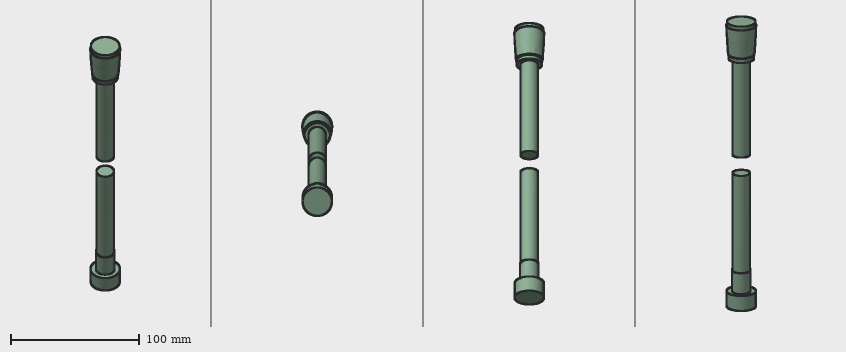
import cadquery as cq

TOTAL_HEIGHT = 237.5
HOSE_RADIUS = 13.8 / 2
UPPER_HOSE_END_Z = 126.4
LOWER_HOSE_END_Z = 111.2

TOP_BAND_RADIUS = 22.5 / 2
TOP_BAND_HEIGHT = 3.0
GRIP_TOP_RADIUS = 23.5 / 2
GRIP_MIDDLE_RADIUS = 22.5 / 2
GRIP_BOTTOM_RADIUS = 21.0 / 2
GRIP_HEIGHT = 24.5
COLLAR_RADIUS = 20.0 / 2
BEVEL_HEIGHT = 0.7
COLLAR_HEIGHT = 3.3

NUT_RADIUS = 23.0 / 2
NUT_HEIGHT = 12.5
SLEEVE_RADIUS = 14.7 / 2
SLEEVE_HEIGHT = 17.3


def cylinder(radius, bottom_z, top_z):
    """Solid cylinder on the Z axis between two heights."""
    return cq.Workplane("XY").workplane(offset=bottom_z).circle(radius).extrude(top_z - bottom_z)


def barrel_grip(bottom_z, top_z):
    """Grip with a gently bulged, narrowing side and a bevel down to the collar."""
    bevel_top_z = bottom_z + BEVEL_HEIGHT
    middle_z = (bevel_top_z + top_z) / 2
    return (
        cq.Workplane("XZ")
        .moveTo(0, bottom_z)
        .lineTo(COLLAR_RADIUS, bottom_z)
        .lineTo(GRIP_BOTTOM_RADIUS, bevel_top_z)
        .threePointArc((GRIP_MIDDLE_RADIUS, middle_z), (GRIP_TOP_RADIUS, top_z))
        .lineTo(0, top_z)
        .close()
        .revolve(360, (0, 0, 0), (0, 1, 0))
    )


def make_upper_hose():
    """Upper hose piece with its banded conical nut."""
    grip_top_z = TOTAL_HEIGHT - TOP_BAND_HEIGHT
    grip_bottom_z = grip_top_z - GRIP_HEIGHT
    collar_bottom_z = grip_bottom_z - COLLAR_HEIGHT
    band = cylinder(TOP_BAND_RADIUS, grip_top_z, TOTAL_HEIGHT)
    grip = barrel_grip(grip_bottom_z, grip_top_z)
    collar = cylinder(COLLAR_RADIUS, collar_bottom_z, grip_bottom_z)
    hose = cylinder(HOSE_RADIUS, UPPER_HOSE_END_Z, collar_bottom_z)
    return hose.union(collar).union(grip).union(band)


def make_lower_hose():
    """Lower hose piece with its crimp sleeve and cylindrical nut."""
    sleeve_top_z = NUT_HEIGHT + SLEEVE_HEIGHT
    nut = cylinder(NUT_RADIUS, 0, NUT_HEIGHT)
    sleeve = cylinder(SLEEVE_RADIUS, NUT_HEIGHT, sleeve_top_z)
    hose = cylinder(HOSE_RADIUS, sleeve_top_z, LOWER_HOSE_END_Z)
    return nut.union(sleeve).union(hose)


upper_hose = make_upper_hose()
lower_hose = make_lower_hose()

result = cq.Compound.makeCompound([upper_hose.val(), lower_hose.val()])